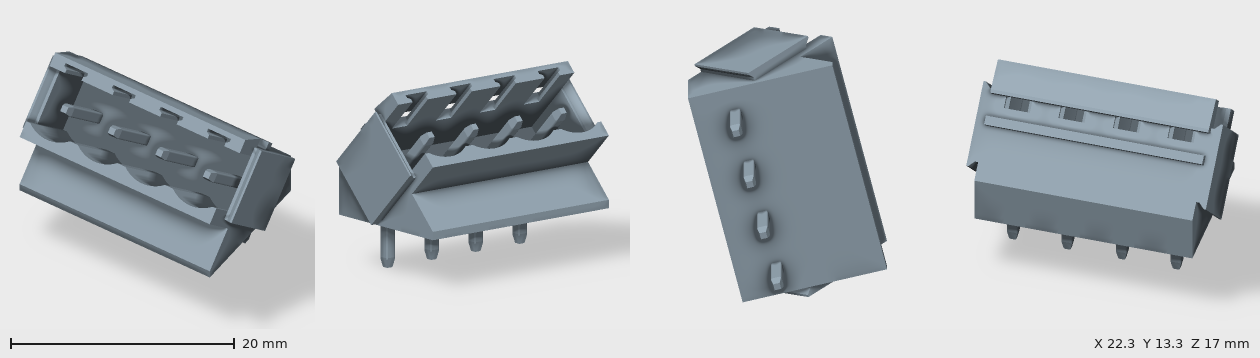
import cadquery as cq
import math


pole_count = 4
pitch = 5.08
housing_width = pole_count * pitch
pole_positions = [(i - (pole_count - 1) / 2) * pitch for i in range(pole_count)]

housing_depth = 13.3
housing_height = 12.47
overall_height = 16.97
mouth_v = 4.715
lip_outer_u = mouth_v
lip_inner_u = 6.25
foot_v = 0.545
wall_inner_u = 11.63
wall_outer_u = 12.46
cavity_floor_v = -3.8

head_front_u = math.sqrt(2) * housing_height - mouth_v
head_back_u = 13.31
head_bottom_v = 1.61
head_slope_v = 1.92

rib_u = 13.17
rib_bottom_v = -1.29
rib_top_v = -0.47
rib_fillet = 0.19

channel_width = 4.23
channel_depth = 0.74

slot_mouth_width = 1.76
slot_floor_width = 2.42
slot_mouth_end_u = 11.97
slot_floor_start_u = 12.17
slot_bottom_v = foot_v

plate_thickness = 1.0
plate_front_u = 5.44
plate_bottom_v = -5.15
plate_top_v = 2.61
plate_rim = 0.2
plate_neck = 0.3
plate_undercut = 0.5

pin_size = 1.0
pin_edge_radius = 0.16
pin_tip_size = 0.6
pin_tip_length = 0.94
leg_y = 9.49
leg_end_z = housing_height - overall_height
prong_u = (lip_inner_u - channel_depth + wall_inner_u) / 2
prong_end_v = 3.74
bend_z = math.sqrt(2) * prong_u - leg_y
bend_v = (bend_z - leg_y) / math.sqrt(2)
bend_angle = 45
bend_overrun = pin_size / 2 * math.tan(math.radians(bend_angle / 2))


def yz(u, v):
    """Leaning-frame point as (y, z)."""
    return ((u - v) / math.sqrt(2), (u + v) / math.sqrt(2))


def lean_plane(x, u, v, normal):
    """Work plane at a leaning-frame point with local x along X and the given (u, v) normal."""
    return cq.Plane(origin=(x, *yz(u, v)), xDir=(1, 0, 0), normal=(0, *yz(*normal)))


def across(points, width):
    """Prism over a closed (y, z) outline, centred on X = 0."""
    return cq.Workplane("YZ").polyline(points).close().extrude(width / 2, both=True)


def housing_block():
    """Housing body along all poles, with an open-ended plug cavity and the rear rib."""
    outline = [
        (0, 0),
        (0, math.sqrt(2) * foot_v),
        yz(lip_outer_u, foot_v),
        yz(lip_outer_u, mouth_v),
        yz(lip_inner_u, mouth_v),
        yz(lip_inner_u, cavity_floor_v),
        yz(wall_inner_u, cavity_floor_v),
        yz(wall_inner_u, mouth_v),
        yz(head_front_u, mouth_v),
        yz(head_back_u, head_slope_v),
        yz(head_back_u, head_bottom_v),
        yz(wall_outer_u, head_bottom_v),
        yz(wall_outer_u, rib_top_v),
        yz(rib_u, rib_top_v),
        yz(rib_u, rib_bottom_v),
        yz(wall_outer_u, rib_bottom_v),
        (housing_depth, math.sqrt(2) * wall_outer_u - housing_depth),
        (housing_depth, 0),
    ]
    rib_corner = (0, *yz(wall_outer_u, rib_top_v))
    block = across(outline, housing_width)
    return block.edges(cq.selectors.NearestToPointSelector(rib_corner)).fillet(rib_fillet)


def lip_channel(x):
    """Round channel along the plug axis, sunk into the inner face of the lip."""
    plane = lean_plane(x, lip_inner_u, cavity_floor_v, (0, 1))
    return (
        cq.Workplane(plane)
        .moveTo(-channel_width / 2, 0)
        .threePointArc((0, -channel_depth), (channel_width / 2, 0))
        .close()
        .extrude(mouth_v - cavity_floor_v)
    )


def coding_slot(x):
    """Slot along the plug axis that widens towards the back of the rear wall."""
    half_mouth = slot_mouth_width / 2
    half_floor = slot_floor_width / 2
    mouth_end = slot_mouth_end_u - wall_inner_u
    floor_start = slot_floor_start_u - wall_inner_u
    depth = wall_outer_u - wall_inner_u
    half_outline = [
        (half_mouth, 0),
        (half_mouth, mouth_end),
        (half_floor, floor_start),
        (half_floor, depth),
    ]
    other_half = [(-a, b) for a, b in reversed(half_outline)]
    plane = lean_plane(x, wall_inner_u, slot_bottom_v, (0, 1))
    return cq.Workplane(plane).polyline(half_outline + other_half).close().extrude(mouth_v - slot_bottom_v)


def end_plate(side):
    """Dovetail plate closing one end of the cavity; side is -1 or +1."""
    inner_x = side * housing_width / 2
    neck_x = inner_x + side * plate_neck
    rim_x = inner_x + side * (plate_thickness - plate_rim)
    outer_x = inner_x + side * plate_thickness
    neck_top_v = plate_top_v - plate_undercut
    neck_bottom_v = plate_bottom_v + plate_undercut
    outline = [
        (inner_x, neck_bottom_v),
        (neck_x, neck_bottom_v),
        (rim_x, plate_bottom_v),
        (outer_x, plate_bottom_v),
        (outer_x, plate_top_v),
        (rim_x, plate_top_v),
        (neck_x, neck_top_v),
        (inner_x, neck_top_v),
    ]
    plane = lean_plane(0, wall_outer_u, 0, (-1, 0))
    return cq.Workplane(plane).polyline(outline).close().extrude(wall_outer_u - plate_front_u)


def pin_bar(plane, length):
    """Square bar with rounded long edges and a tapered far end."""
    bar = cq.Workplane(plane).rect(pin_size, pin_size).extrude(length)
    bar = bar.edges(cq.selectors.ParallelDirSelector(plane.zDir)).fillet(pin_edge_radius)
    shank_length = length - pin_tip_length
    envelope = (
        cq.Workplane(plane)
        .rect(pin_size, pin_size)
        .extrude(shank_length)
        .faces(cq.selectors.DirectionMinMaxSelector(plane.zDir))
        .workplane()
        .rect(pin_size, pin_size)
        .workplane(offset=pin_tip_length)
        .rect(pin_tip_size, pin_tip_size)
        .loft(combine=True)
    )
    return bar.intersect(envelope)


def pin(x):
    """Bent pin: an upright leg below and a leaning prong along the plug axis."""
    leg_top_z = bend_z + bend_overrun
    leg_plane = cq.Plane(origin=(x, leg_y, leg_top_z), xDir=(1, 0, 0), normal=(0, 0, -1))
    leg = pin_bar(leg_plane, leg_top_z - leg_end_z)
    prong_start_v = bend_v - bend_overrun
    prong = pin_bar(lean_plane(x, prong_u, prong_start_v, (0, 1)), prong_end_v - prong_start_v)
    return leg.union(prong)


housing = housing_block()
for side in (-1, 1):
    housing = housing.union(end_plate(side))
for x in pole_positions:
    housing = housing.cut(lip_channel(x)).cut(coding_slot(x))

pins = [pin(x) for x in pole_positions]
for one_pin in pins:
    housing = housing.cut(one_pin)

result = cq.Compound.makeCompound([housing.solids().val(), *[one_pin.solids().val() for one_pin in pins]])